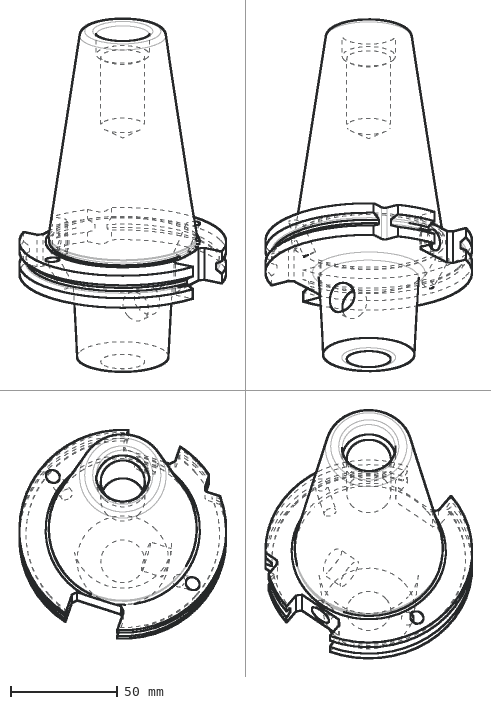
import cadquery as cq
import math

TOTAL_HEIGHT = 164.8

TIP_RADIUS = 10.4
TIP_RIM_RADIUS = 12.7
TIP_RIM_Z = 0.8
NOSE_BOTTOM_RADIUS = 21.5
NOSE_BOTTOM_Z = 2.3
NOSE_TOP_RADIUS = 23.5
NOSE_FILLET = 3.0

FLANGE_RADIUS = 48.8
FLANGE_HEIGHT = 16.0
FLANGE_BOTTOM_Z = 43.8
FLANGE_TOP_Z = FLANGE_BOTTOM_Z + FLANGE_HEIGHT
GROOVE_Z = FLANGE_BOTTOM_Z + FLANGE_HEIGHT / 2
GROOVE_WIDTH = 6.5
GROOVE_DEPTH = 3.1
GROOVE_FLANK_ANGLE = 30.0
GROOVE_ROOT_FILLET = 1.0

TAPER_LENGTH = 101.8
GAUGE_Z = TOTAL_HEIGHT - TAPER_LENGTH
GAUGE_RADIUS = 35.0
TAPER_END_RADIUS = GAUGE_RADIUS - TAPER_LENGTH * 7 / 48
TAPER_END_FILLET = 2.5
GAUGE_BAND = 0.5
NECK_RADIUS = 34.8
NECK_HEIGHT = 1.5
RELIEF_RADIUS = 0.8
RELIEF_DEPTH = 0.5
RELIEF_CENTER_RADIUS = NECK_RADIUS + RELIEF_RADIUS
RELIEF_CENTER_Z = FLANGE_TOP_Z - RELIEF_DEPTH + RELIEF_RADIUS
RELIEF_OUTER_RADIUS = RELIEF_CENTER_RADIUS + math.sqrt(
    RELIEF_RADIUS**2 - (RELIEF_CENTER_Z - FLANGE_TOP_Z) ** 2
)

PILOT_RADIUS = 12.5
PILOT_DEPTH = 11.5
PILOT_ROUNDING = 1.6
THREAD_RADIUS = 10.4
THREAD_DEPTH = 47.0
DRILL_POINT_ANGLE = 118.0

SLOT_WIDTH = 25.7
SLOT_CHAMFER = 2.0
LEFT_SLOT_X = -37.5
RIGHT_SLOT_X = 35.5

NOTCH_OFFSET = 30.1
NOTCH_FILLET = 2.0

CHIP_RADIUS = 5.1
CHIP_DEPTH = 4.6
CHIP_CENTER_RADIUS = 0.5
CHIP_CENTER_DEPTH = 0.5

COOLANT_RADIUS = 3.0
COOLANT_CIRCLE_RADIUS = 42.0
COOLANT_TILT = 30.0
COOLANT_LENGTH = 16.5
COOLANT_ANGLES = (70.0, 250.0)

SCREW_RADIUS = 7.1
SCREW_Z = 24.0
SCREW_FLOOR_Y = 11.5

CLEARANCE = 1.6


def drill_point(radius):
    """Height of the conical end a twist drill of this radius leaves."""
    return radius / math.tan(math.radians(DRILL_POINT_ANGLE / 2))


def make_body():
    """Revolved nose, flange and taper without any cut-outs."""
    profile = (
        cq.Workplane("XZ")
        .lineTo(TIP_RADIUS, 0)
        .lineTo(TIP_RIM_RADIUS, TIP_RIM_Z)
        .lineTo(NOSE_BOTTOM_RADIUS, NOSE_BOTTOM_Z)
        .lineTo(NOSE_TOP_RADIUS, FLANGE_BOTTOM_Z - NOSE_FILLET)
        .radiusArc((NOSE_TOP_RADIUS + NOSE_FILLET, FLANGE_BOTTOM_Z), NOSE_FILLET)
        .lineTo(FLANGE_RADIUS, FLANGE_BOTTOM_Z)
        .lineTo(FLANGE_RADIUS, FLANGE_TOP_Z)
        .lineTo(RELIEF_OUTER_RADIUS, FLANGE_TOP_Z)
        .radiusArc((NECK_RADIUS, RELIEF_CENTER_Z), RELIEF_RADIUS)
        .lineTo(NECK_RADIUS, FLANGE_TOP_Z + NECK_HEIGHT)
        .lineTo(GAUGE_RADIUS, GAUGE_Z - GAUGE_BAND)
        .lineTo(GAUGE_RADIUS, GAUGE_Z)
        .lineTo(TAPER_END_RADIUS, TOTAL_HEIGHT)
        .lineTo(0, TOTAL_HEIGHT)
        .close()
    )
    body = profile.revolve(360, (0, 0, 0), (0, 1, 0))
    return body.faces(">Z").edges().fillet(TAPER_END_FILLET)


def make_gripper_groove():
    """V-shaped ring with a flat, filleted root."""
    root_radius = FLANGE_RADIUS - GROOVE_DEPTH
    flank_slope = math.tan(math.radians(GROOVE_FLANK_ANGLE))
    half_rim = GROOVE_WIDTH / 2
    half_root = half_rim - GROOVE_DEPTH * flank_slope
    half_outside = half_rim + CLEARANCE * flank_slope
    ring = (
        cq.Workplane("XZ")
        .moveTo(root_radius, GROOVE_Z - half_root)
        .lineTo(FLANGE_RADIUS + CLEARANCE, GROOVE_Z - half_outside)
        .lineTo(FLANGE_RADIUS + CLEARANCE, GROOVE_Z + half_outside)
        .lineTo(root_radius, GROOVE_Z + half_root)
        .close()
        .revolve(360, (0, 0, 0), (0, 1, 0))
    )
    root_edges = cq.selectors.RadiusNthSelector(0)
    return ring.edges("%CIRCLE").edges(root_edges).fillet(GROOVE_ROOT_FILLET)


def make_drawbar_bore():
    """Stepped blind bore with a rounded mouth, a conical ledge and a drill-point end."""
    step_z = TOTAL_HEIGHT - PILOT_DEPTH
    step_drop = drill_point(PILOT_RADIUS) - drill_point(THREAD_RADIUS)
    drill_z = TOTAL_HEIGHT - THREAD_DEPTH
    return (
        cq.Workplane("XZ")
        .moveTo(0, TOTAL_HEIGHT)
        .lineTo(PILOT_RADIUS + PILOT_ROUNDING, TOTAL_HEIGHT)
        .radiusArc((PILOT_RADIUS, TOTAL_HEIGHT - PILOT_ROUNDING), -PILOT_ROUNDING)
        .lineTo(PILOT_RADIUS, step_z)
        .lineTo(THREAD_RADIUS, step_z - step_drop)
        .lineTo(THREAD_RADIUS, drill_z)
        .lineTo(0, drill_z - drill_point(THREAD_RADIUS))
        .close()
        .revolve(360, (0, 0, 0), (0, 1, 0))
    )


def make_flange_block(x_start, x_end, y_start, y_end):
    """Box as tall as the flange between two corners."""
    return (
        cq.Workplane("XY", origin=(0, 0, FLANGE_BOTTOM_Z))
        .moveTo(x_start, y_start)
        .lineTo(x_end, y_start)
        .lineTo(x_end, y_end)
        .lineTo(x_start, y_end)
        .close()
        .extrude(FLANGE_HEIGHT)
    )


def make_drive_slot(floor_x):
    """Slot from its floor out through the rim, with chamfered inner corners."""
    outside_x = math.copysign(FLANGE_RADIUS + CLEARANCE, floor_x)
    slot = make_flange_block(floor_x, outside_x, -SLOT_WIDTH / 2, SLOT_WIDTH / 2)
    floor_face = ">X" if floor_x < 0 else "<X"
    return slot.faces(floor_face).edges("|Z").chamfer(SLOT_CHAMFER)


def make_orientation_notch():
    """Square-cornered step in the rim with a filleted inner corner."""
    outside = FLANGE_RADIUS + CLEARANCE
    notch = make_flange_block(-NOTCH_OFFSET, -outside, NOTCH_OFFSET, outside)
    return notch.edges("|Z and >X and <Y").fillet(NOTCH_FILLET)


def make_chip_pocket():
    """Flat-bottomed round pocket with a small centre mark in its floor."""
    mouth = cq.Workplane("YZ", origin=(LEFT_SLOT_X - CLEARANCE, 0, GROOVE_Z))
    pocket_length = CLEARANCE + CHIP_DEPTH
    pocket = mouth.circle(CHIP_RADIUS).extrude(pocket_length)
    mark = mouth.circle(CHIP_CENTER_RADIUS).extrude(pocket_length + CHIP_CENTER_DEPTH)
    return pocket.union(mark)


def make_coolant_hole(angle):
    """Hole sloping toward the axis as it goes down from the flange top."""
    around = math.radians(angle)
    tilt = math.radians(COOLANT_TILT)
    mouth = cq.Vector(
        COOLANT_CIRCLE_RADIUS * math.cos(around),
        COOLANT_CIRCLE_RADIUS * math.sin(around),
        FLANGE_TOP_Z,
    )
    direction = cq.Vector(
        -math.sin(tilt) * math.cos(around),
        -math.sin(tilt) * math.sin(around),
        -math.cos(tilt),
    )
    lead_in = COOLANT_RADIUS * math.tan(tilt) + CLEARANCE
    return cq.Solid.makeCylinder(
        COOLANT_RADIUS, COOLANT_LENGTH + lead_in, mouth - direction * lead_in, direction
    )


def make_screw_hole():
    """Blind radial hole entering the nose from +Y."""
    length = NOSE_TOP_RADIUS + CLEARANCE - SCREW_FLOOR_Y
    floor = cq.Workplane("XZ", origin=(0, SCREW_FLOOR_Y, SCREW_Z))
    return floor.circle(SCREW_RADIUS).extrude(-length)


result = make_body()
result = result.cut(make_gripper_groove())
result = result.cut(make_drawbar_bore())
for slot_floor_x in (LEFT_SLOT_X, RIGHT_SLOT_X):
    result = result.cut(make_drive_slot(slot_floor_x))
result = result.cut(make_orientation_notch())
result = result.cut(make_chip_pocket())
for hole_angle in COOLANT_ANGLES:
    result = result.cut(make_coolant_hole(hole_angle))
result = result.cut(make_screw_hole())